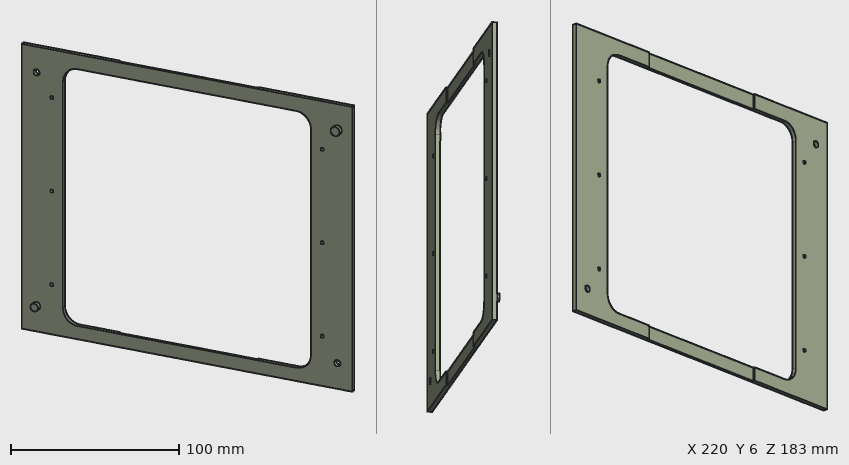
import cadquery as cq

width = 220.0
height = 183.0
total_depth = 6.0
plate_thickness = total_depth / 2
pin_length = total_depth - plate_thickness

window_size = 165.0
window_corner_radius = 10.0
window_z = -0.5

channel_width = 92.5
channel_depth = 1.0

corner_x = 100.0
corner_z = 75.0
corner_hole_diameter = 4.0
upper_pin_diameter = 6.0
lower_pin_diameter = 5.0

small_hole_x = 90.0
small_hole_pitch = 60.0
small_hole_middle_z = 0.55
small_hole_diameter = 2.0


def bar_along_y(x, z, diameter, y_start, y_end):
    """Round bar parallel to Y between two Y positions."""
    length = y_end - y_start
    return cq.Workplane("XZ", origin=(x, y_end, z)).circle(diameter / 2).extrude(length)


def through_hole(x, z, diameter):
    """Cutter that passes through the full plate thickness."""
    return bar_along_y(x, z, diameter, 0, plate_thickness)


def front_pin(x, z, diameter):
    """Pin standing on the front face, rooted inside the plate."""
    return bar_along_y(x, z, diameter, -pin_length, plate_thickness / 2)


def block(size_x, size_z, y_start, y_end):
    """Rectangular block centred in X and Z."""
    return cq.Workplane("XZ", origin=(0, y_end, 0)).rect(size_x, size_z).extrude(y_end - y_start)


plate = block(width, height, 0, plate_thickness)
window = block(window_size, window_size, 0, plate_thickness)
window = window.edges("|Y").fillet(window_corner_radius).translate((0, 0, window_z))
channel = block(channel_width, height, plate_thickness - channel_depth, plate_thickness)
result = plate.cut(window).cut(channel)

for side in (-1, 1):
    result = result.cut(through_hole(side * corner_x, -side * corner_z, corner_hole_diameter))

for side in (-1, 1):
    for row in (-1, 0, 1):
        hole_z = small_hole_middle_z + row * small_hole_pitch
        hole = through_hole(side * small_hole_x, hole_z, small_hole_diameter)
        result = result.cut(hole)

result = result.union(front_pin(corner_x, corner_z, upper_pin_diameter))
result = result.union(front_pin(-corner_x, -corner_z, lower_pin_diameter))